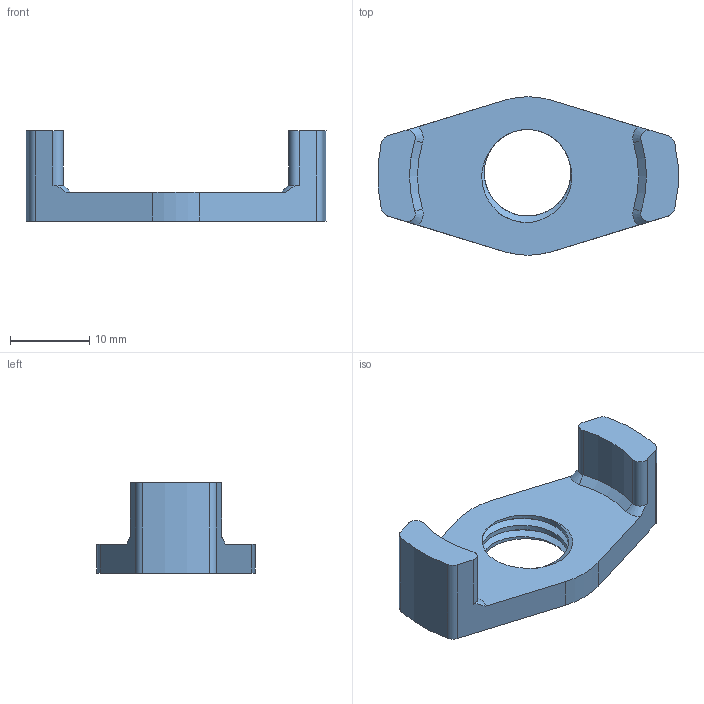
import cadquery as cq
import math

plate_thickness = 3.65
total_height = 11.39
hub_radius = 10.0
flank_angle = 17.0
end_radius = 18.97
end_corner_radius = 1.2

jaw_inner_radius = 14.95
jaw_corner_radius = 1.0
foot_height = 0.9
foot_width = 1.0
mid_jaw_x = (end_radius + jaw_inner_radius) / 2

bore_radius = 5.46
bore_offset_x = -0.06
bore_offset_y = 0.41
thread_pitch = 1.75
thread_depth = 0.82
groove_opening = 1.1
thread_flank_angle = 30.0
root_angle_at_top = 259.0

end_overrun = 1.0
groove_overlap = 0.1
overrun_turns = 2


def vertical_edges_between(near_x, far_x):
    """Selector for the vertical edges at both ends whose distance from x = 0 lies in a range."""
    low = (-hub_radius, -total_height)
    high = (hub_radius, 2 * total_height)
    right = cq.selectors.BoxSelector((near_x, *low), (far_x, *high))
    left = cq.selectors.BoxSelector((-far_x, *low), (-near_x, *high))
    return cq.selectors.AndSelector(cq.StringSyntaxSelector("|Z"), left + right)


def outline_prism(height):
    """Plate outline extruded upwards from the base."""
    angle = math.radians(flank_angle)
    tangent_x = hub_radius * math.sin(angle)
    tangent_y = hub_radius * math.cos(angle)
    flank_end_x = end_radius + end_overrun
    flank_end_y = tangent_y - (flank_end_x - tangent_x) * math.tan(angle)
    flanked_hub = (
        cq.Workplane("XY")
        .moveTo(-flank_end_x, flank_end_y)
        .lineTo(-tangent_x, tangent_y)
        .threePointArc((0, hub_radius), (tangent_x, tangent_y))
        .lineTo(flank_end_x, flank_end_y)
        .lineTo(flank_end_x, -flank_end_y)
        .lineTo(tangent_x, -tangent_y)
        .threePointArc((0, -hub_radius), (-tangent_x, -tangent_y))
        .lineTo(-flank_end_x, -flank_end_y)
        .close()
        .extrude(height)
    )
    end_disc = cq.Workplane("XY").circle(end_radius).extrude(height)
    prism = flanked_hub.intersect(end_disc)
    end_corners = vertical_edges_between(mid_jaw_x, end_radius)
    return prism.edges(end_corners).fillet(end_corner_radius)


def jaw_pair(full_prism):
    """Both end jaws, their inner faces on a circle about the plate centre."""
    hollow = cq.Workplane("XY").circle(jaw_inner_radius).extrude(total_height)
    inner_corners = vertical_edges_between(hub_radius, mid_jaw_x)
    return full_prism.cut(hollow).edges(inner_corners).fillet(jaw_corner_radius)


def jaw_feet(jaws, full_prism):
    """Sloped feet widening each jaw where it meets the plate."""
    slope = math.degrees(math.atan2(foot_width, foot_height))
    feet = []
    for base in jaws.faces("<Z").vals():
        jaw_outline = base.outerWire().translate(cq.Vector(0, 0, plate_thickness))
        foot = (
            cq.Workplane("XY", origin=(0, 0, plate_thickness))
            .add(jaw_outline)
            .toPending()
            .offset2D(foot_width)
            .extrude(foot_height, taper=slope)
        )
        feet.append(foot.intersect(full_prism))
    return feet


def thread_groove(start_z, length):
    """Right-handed helical groove with a trapezoidal profile around the bore."""
    slope = math.tan(math.radians(thread_flank_angle))
    half_mouth = groove_opening / 2 + groove_overlap * slope
    half_root = groove_opening / 2 - thread_depth * slope
    inner_radius = bore_radius - groove_overlap
    root_radius = bore_radius + thread_depth
    helix = cq.Wire.makeHelix(thread_pitch, length, bore_radius)
    groove = (
        cq.Workplane("XZ")
        .moveTo(inner_radius, -half_mouth)
        .lineTo(root_radius, -half_root)
        .lineTo(root_radius, half_root)
        .lineTo(inner_radius, half_mouth)
        .close()
        .sweep(cq.Workplane(helix), isFrenet=True)
        .translate((0, 0, start_z))
    )
    turn_to_top = 360 * (plate_thickness - start_z) / thread_pitch
    return groove.rotate((0, 0, 0), (0, 0, 1), root_angle_at_top - turn_to_top)


def cut_threaded_bore(body):
    """Cut the helical groove and then the plain bore through the plate."""
    overrun = overrun_turns * thread_pitch
    start_z = -overrun
    length = plate_thickness + 2 * overrun
    shift = (bore_offset_x, bore_offset_y, 0)
    groove = thread_groove(start_z, length).translate(shift)
    bore = cq.Workplane("XY", origin=(0, 0, start_z)).circle(bore_radius).extrude(length).translate(shift)
    return body.cut(groove).cut(bore)


full_prism = outline_prism(total_height)
jaws = jaw_pair(full_prism)
body = outline_prism(plate_thickness).union(jaws)
for foot in jaw_feet(jaws, full_prism):
    body = body.union(foot)
result = cut_threaded_bore(body)